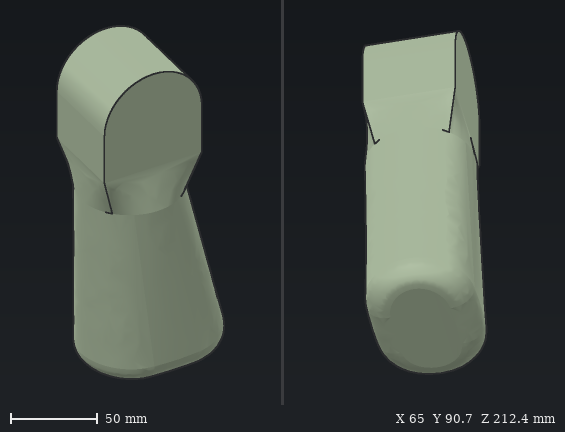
import cadquery as cq
import math

total_height = 212.5
head_depth = 65.0
head_width = 54.8
head_bottom = 147.7
head_radius = head_depth / 2
neck_bottom = 120.5

grip_width = head_depth
grip_radius = grip_width / 2
grip_base = -4.2
grip_base_depth = 95.6
flank_start_y = 18.7

neck_corner_x = 21.9

hollow_radius = 127.5
hollow_height = 1.5
end_fillet = 12.8


def four_arc_circle(z, corner_x):
    """Circle under the head, split into four arcs at x = +/-corner_x."""
    half_chord = math.sqrt(grip_radius**2 - corner_x**2)
    front_y = grip_radius - half_chord
    back_y = grip_radius + half_chord
    return (
        cq.Workplane("XY", origin=(0, 0, z))
        .moveTo(-corner_x, front_y)
        .threePointArc((0, 0), (corner_x, front_y))
        .threePointArc((grip_radius, grip_radius), (corner_x, back_y))
        .threePointArc((0, grip_width), (-corner_x, back_y))
        .threePointArc((-grip_radius, grip_radius), (-corner_x, front_y))
        .wire()
        .val()
    )


def slot_section(z, depth):
    """Straight flanks closed by a semicircle at the front and back."""
    back_y = depth - grip_radius
    return (
        cq.Workplane("XY", origin=(0, 0, z))
        .moveTo(-grip_radius, grip_radius)
        .threePointArc((0, 0), (grip_radius, grip_radius))
        .lineTo(grip_radius, back_y)
        .threePointArc((0, depth), (-grip_radius, back_y))
        .close()
        .wires()
        .val()
    )


def make_head():
    """Block with a fully rounded top, running along X."""
    return (
        cq.Workplane("YZ", origin=(-head_width / 2, 0, 0))
        .moveTo(0, head_bottom)
        .lineTo(head_depth, head_bottom)
        .lineTo(head_depth, total_height - head_radius)
        .threePointArc((head_radius, total_height), (0, total_height - head_radius))
        .close()
        .extrude(head_width)
    )


def make_neck():
    """Ruled transition from the round grip to the rectangular head."""
    lower = four_arc_circle(neck_bottom, neck_corner_x)
    half_width = head_width / 2
    upper = (
        cq.Workplane("XY", origin=(0, 0, head_bottom))
        .moveTo(-half_width, 0)
        .lineTo(half_width, 0)
        .lineTo(half_width, head_depth)
        .lineTo(-half_width, head_depth)
        .close()
        .wires()
        .val()
    )
    return cq.Workplane(cq.Solid.makeLoft([lower, upper], True))


def make_grip():
    """Tapered handle with a shallow hollow and a rounded rim at its end."""
    flank_x = math.sqrt(grip_radius**2 - (grip_radius - flank_start_y) ** 2)
    base = slot_section(grip_base, grip_base_depth)
    top = four_arc_circle(neck_bottom, flank_x)
    grip = cq.Workplane(cq.Solid.makeLoft([base, top], True))
    hollow = (
        cq.Workplane("XZ", origin=(0, 2 * grip_base_depth, 0))
        .center(0, hollow_height - hollow_radius)
        .circle(hollow_radius)
        .extrude(3 * grip_base_depth)
    )
    grip = grip.cut(hollow)
    return grip.faces("<Z").edges().fillet(end_fillet)


result = make_grip().union(make_neck()).union(make_head())